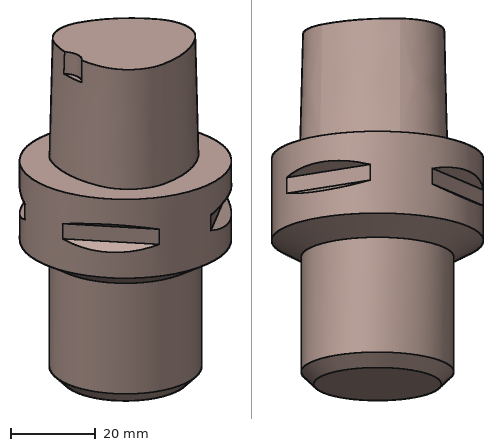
import cadquery as cq
import math

TOTAL_HEIGHT = 85.0
FLANGE_RADIUS = 50.0 / 2
NECK_RADIUS = 36.0 / 2
FLANGE_TOP = 55.0
FLANGE_BOTTOM = 35.0
CONE_ANGLE = math.radians(30)
BOTTOM_CHAMFER = 3.0

LOBE_REACH = 18.5
FLANK_REACH = 16.2
LOBE_RADIUS = 11.9
TAPER_PER_SIDE = 1 / 40

NOTCH_RADIUS = 5.0
NOTCH_INNER_Y = -13.9
NOTCH_DEPTH = 5.5

GROOVE_COUNT = 4
GROOVE_DEPTH = 2.8
GROOVE_FLOOR_HEIGHT = 3.8
GROOVE_WALL_ANGLE = math.radians(30)
GROOVE_CENTER_Z = (FLANGE_TOP + FLANGE_BOTTOM) / 2
GROOVE_START_ANGLE = 45


def polar(radius, degrees):
    angle = math.radians(degrees)
    return (radius * math.cos(angle), radius * math.sin(angle))


def make_turned_body():
    cone_height = (FLANGE_RADIUS - NECK_RADIUS) * math.tan(CONE_ANGLE)
    profile = [
        (0, 0),
        (NECK_RADIUS - BOTTOM_CHAMFER, 0),
        (NECK_RADIUS, BOTTOM_CHAMFER),
        (NECK_RADIUS, FLANGE_BOTTOM - cone_height),
        (FLANGE_RADIUS, FLANGE_BOTTOM),
        (FLANGE_RADIUS, FLANGE_TOP),
        (0, FLANGE_TOP),
    ]
    return cq.Workplane("XZ").polyline(profile).close().revolve(360, (0, 0), (0, 1))


def lobed_wire(inset, z):
    """Closed outline of the shank, offset inward by inset, at height z."""
    lobe_offset = LOBE_REACH - LOBE_RADIUS
    gap = FLANK_REACH - LOBE_RADIUS
    flank_offset = (lobe_offset**2 - gap**2) / (2 * gap - lobe_offset)

    lobe_x, lobe_y = polar(lobe_offset, 60)
    slope = math.atan2(lobe_y, lobe_x + flank_offset)
    lobe_radius = LOBE_RADIUS - inset
    joint_x = lobe_x + lobe_radius * math.cos(slope)
    joint_y = lobe_y + lobe_radius * math.sin(slope)
    joint_radius = math.hypot(joint_x, joint_y)
    joint_angle = math.degrees(math.atan2(joint_y, joint_x))

    outline = cq.Workplane("XY").workplane(offset=z).moveTo(*polar(joint_radius, -90 - joint_angle))
    for flank_angle in (-90, 30, 150):
        outline = outline.threePointArc(
            polar(FLANK_REACH - inset, flank_angle),
            polar(joint_radius, flank_angle + joint_angle),
        )
        outline = outline.threePointArc(
            polar(LOBE_REACH - inset, flank_angle + 60),
            polar(joint_radius, flank_angle + 120 - joint_angle),
        )
    return outline.close().val()


def make_shank():
    top_inset = (TOTAL_HEIGHT - FLANGE_TOP) * TAPER_PER_SIDE
    base = lobed_wire(0, FLANGE_TOP)
    top = lobed_wire(top_inset, TOTAL_HEIGHT)
    return cq.Workplane(cq.Solid.makeLoft([base, top], True))


def make_notch():
    return (
        cq.Workplane("XY")
        .workplane(offset=TOTAL_HEIGHT - NOTCH_DEPTH)
        .center(0, NOTCH_INNER_Y - NOTCH_RADIUS)
        .circle(NOTCH_RADIUS)
        .extrude(NOTCH_DEPTH)
    )


def make_groove():
    """Straight trapezoidal groove on the +X side, running along Y."""
    floor_x = FLANGE_RADIUS - GROOVE_DEPTH
    floor_half = GROOVE_FLOOR_HEIGHT / 2
    mouth_half = floor_half + GROOVE_DEPTH * math.tan(GROOVE_WALL_ANGLE)
    section = [
        (floor_x, GROOVE_CENTER_Z - floor_half),
        (FLANGE_RADIUS, GROOVE_CENTER_Z - mouth_half),
        (FLANGE_RADIUS, GROOVE_CENTER_Z + mouth_half),
        (floor_x, GROOVE_CENTER_Z + floor_half),
    ]
    return cq.Workplane("XZ").polyline(section).close().extrude(FLANGE_RADIUS, both=True)


result = make_turned_body().union(make_shank()).cut(make_notch())
for index in range(GROOVE_COUNT):
    groove_angle = GROOVE_START_ANGLE + index * 360 / GROOVE_COUNT
    result = result.cut(make_groove().rotate((0, 0, 0), (0, 0, 1), groove_angle))